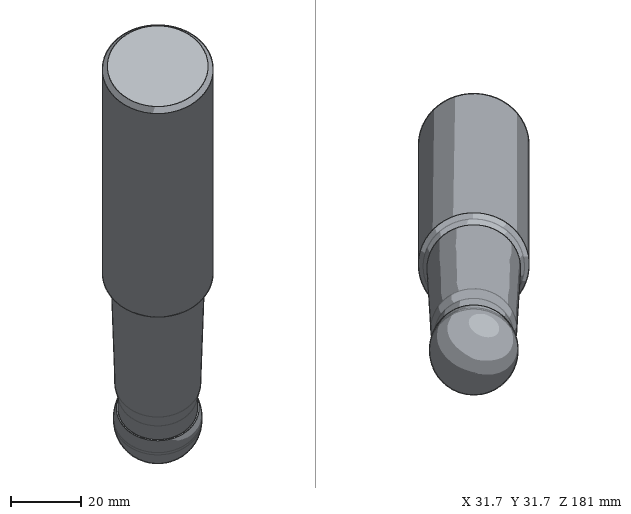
import cadquery as cq
import math

total_length = 181.0

ball_radius = 12.7
ball_land = 1.0
tip_height = 18.3

neck_radius = 11.4
neck_top = 24.8
taper_bottom = 30.2
taper_bottom_radius = 12.3
taper_top = 79.3
taper_top_radius = 13.4
collar_bottom = 81.0
collar_radius = 14.5
shank_bottom = 82.5
shank_diameter = 31.7
shank_radius = shank_diameter / 2
top_chamfer = 1.5


def make_ball_tip():
    """Round nose with a short land, narrowing again toward a flat seat."""
    land_top = ball_radius + ball_land
    seat_angle = math.asin((tip_height - land_top) / ball_radius)
    seat_radius = ball_radius * math.cos(seat_angle)
    nose_diagonal = ball_radius * math.sqrt(0.5)
    shoulder_mid = (
        ball_radius * math.cos(seat_angle / 2),
        land_top + ball_radius * math.sin(seat_angle / 2),
    )
    return (
        cq.Workplane("XZ")
        .threePointArc((nose_diagonal, ball_radius - nose_diagonal), (ball_radius, ball_radius))
        .lineTo(ball_radius, land_top)
        .threePointArc(shoulder_mid, (seat_radius, tip_height))
        .lineTo(0, tip_height)
        .close()
        .revolve(360, (0, 0), (0, 1))
    )


def make_holder():
    """Cylindrical shank stepping down through a tapered body to the neck."""
    profile = [
        (0, tip_height),
        (neck_radius, tip_height),
        (neck_radius, neck_top),
        (taper_bottom_radius, taper_bottom),
        (taper_top_radius, taper_top),
        (collar_radius, collar_bottom),
        (shank_radius, shank_bottom),
        (shank_radius, total_length - top_chamfer),
        (shank_radius - top_chamfer, total_length),
        (0, total_length),
    ]
    return cq.Workplane("XZ").polyline(profile).close().revolve(360, (0, 0), (0, 1))


ball_tip = make_ball_tip()
holder = make_holder()
result = cq.Compound.makeCompound([ball_tip.val(), holder.val()])